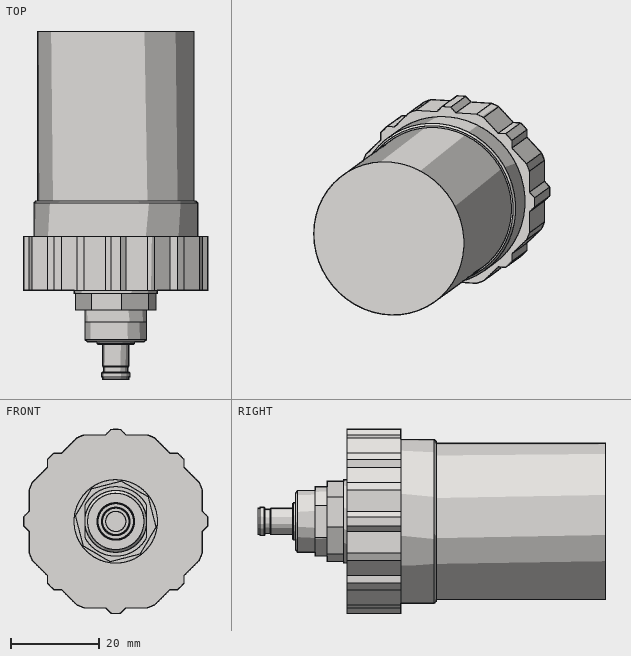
import cadquery as cq
import math


BARREL_RADIUS = 17.75
BARREL_REAR_Y = 58.7
COLLAR_RADIUS = 18.6
COLLAR_REAR_Y = 20.3
COLLAR_CHAMFER = 0.5

CAP_RADIUS = 20.9
CAP_APOTHEM = 19.65
CAP_SIDES = 8
CAP_THICKNESS = 12.2
TOOTH_BASE_WIDTH = 4.6

NUT_FLANGE_RADIUS = 9.5
NUT_FLANGE_THICKNESS = 0.7
NUT_CORNER_RADIUS = 9.2
NUT_SIDES = 8
NUT_FRONT_Y = -4.5
NUT_TURN = -8.0

RING_RADIUS = 7.9
FLAT_DISTANCE = 7.0
RING_FRONT_Y = -7.2
SHOULDER_FRONT_Y = -11.7
SHOULDER_CHAMFER_RADIAL = 0.6
SHOULDER_CHAMFER_AXIAL = 0.5
STEP_RADIUS = 4.3
STEP_FRONT_Y = -12.3
STEP_CHAMFER = 0.2
SPIGOT_RADIUS = 3.0
SPIGOT_FRONT_Y = -20.2
GROOVE_RADIUS = 2.8
GROOVE_REAR_Y = -17.2
GROOVE_FRONT_Y = -18.55
LIP_RADIUS = 3.2
LIP_FRONT_Y = -19.65
LIP_CHAMFER = 0.2
BORE_RADIUS = 2.3


def on_plane(y):
    """Sketch plane across the axis at y, with +Z up and its normal toward -Y."""
    return cq.Workplane("XZ", origin=(0, y, 0))


def disc(radius, rear_y, front_y):
    """Solid cylinder around the axis between two Y positions."""
    return on_plane(rear_y).circle(radius).extrude(rear_y - front_y)


def prism(corner_radius, sides, turn, rear_y, front_y):
    """Regular prism around the axis, its first corner turned from +X."""
    corners = [
        (
            corner_radius * math.cos(math.radians(turn) + math.tau * i / sides),
            corner_radius * math.sin(math.radians(turn) + math.tau * i / sides),
        )
        for i in range(sides)
    ]
    return on_plane(rear_y).polyline(corners).close().extrude(rear_y - front_y)


def make_housing():
    barrel = disc(BARREL_RADIUS, BARREL_REAR_Y, CAP_THICKNESS)
    collar = disc(COLLAR_RADIUS, COLLAR_REAR_Y, CAP_THICKNESS)
    collar = collar.faces(">Y").edges().chamfer(COLLAR_CHAMFER)
    return barrel.union(collar)


def make_tooth():
    """Tooth on the +X side with 45-degree flanks; the trim circle cuts its tip."""
    half_width = TOOTH_BASE_WIDTH / 2
    outline = [
        (0, -half_width),
        (CAP_APOTHEM, -half_width),
        (CAP_APOTHEM + half_width, 0),
        (CAP_APOTHEM, half_width),
        (0, half_width),
    ]
    return on_plane(CAP_THICKNESS).polyline(outline).close().extrude(CAP_THICKNESS)


def make_cap():
    half_pitch = 180 / CAP_SIDES
    corner_radius = CAP_APOTHEM / math.cos(math.radians(half_pitch))
    cap = prism(corner_radius, CAP_SIDES, half_pitch, CAP_THICKNESS, 0)
    tooth = make_tooth()
    for i in range(CAP_SIDES):
        cap = cap.union(tooth.rotate((0, 0, 0), (0, 1, 0), i * 360 / CAP_SIDES))
    return cap.intersect(disc(CAP_RADIUS, CAP_THICKNESS, 0))


def make_nut():
    flange = disc(NUT_FLANGE_RADIUS, 0, -NUT_FLANGE_THICKNESS)
    octagon = prism(NUT_CORNER_RADIUS, NUT_SIDES, NUT_TURN, -NUT_FLANGE_THICKNESS, NUT_FRONT_Y)
    return flange.union(octagon)


def make_ring():
    """Round ring with a flat on the -X and +X sides."""
    length = NUT_FRONT_Y - RING_FRONT_Y
    ring = disc(RING_RADIUS, NUT_FRONT_Y, RING_FRONT_Y)
    between_flats = on_plane(NUT_FRONT_Y).rect(2 * FLAT_DISTANCE, 2 * RING_RADIUS).extrude(length)
    return ring.intersect(between_flats)


def make_stem():
    """Shoulder, step and spigot turned from one half profile of (radius, y) points."""
    profile = [
        (0, RING_FRONT_Y),
        (FLAT_DISTANCE, RING_FRONT_Y),
        (FLAT_DISTANCE, SHOULDER_FRONT_Y + SHOULDER_CHAMFER_AXIAL),
        (FLAT_DISTANCE - SHOULDER_CHAMFER_RADIAL, SHOULDER_FRONT_Y),
        (STEP_RADIUS, SHOULDER_FRONT_Y),
        (STEP_RADIUS, STEP_FRONT_Y + STEP_CHAMFER),
        (STEP_RADIUS - STEP_CHAMFER, STEP_FRONT_Y),
        (SPIGOT_RADIUS, STEP_FRONT_Y),
        (SPIGOT_RADIUS, GROOVE_REAR_Y),
        (GROOVE_RADIUS, GROOVE_REAR_Y - (SPIGOT_RADIUS - GROOVE_RADIUS)),
        (GROOVE_RADIUS, GROOVE_FRONT_Y),
        (LIP_RADIUS - LIP_CHAMFER, GROOVE_FRONT_Y),
        (LIP_RADIUS, GROOVE_FRONT_Y - LIP_CHAMFER),
        (LIP_RADIUS, LIP_FRONT_Y),
        (SPIGOT_RADIUS, LIP_FRONT_Y),
        (SPIGOT_RADIUS, SPIGOT_FRONT_Y),
        (0, SPIGOT_FRONT_Y),
    ]
    return cq.Workplane("XY").polyline(profile).close().revolve(360, (0, 0, 0), (0, 1, 0))


def make_coupling():
    bore = disc(BORE_RADIUS, STEP_FRONT_Y, SPIGOT_FRONT_Y)
    return make_ring().union(make_stem()).cut(bore)


housing = make_housing()
cap = make_cap()
nut = make_nut()
coupling = make_coupling()

result = cq.Compound.makeCompound([housing.val(), cap.val(), nut.val(), coupling.val()])